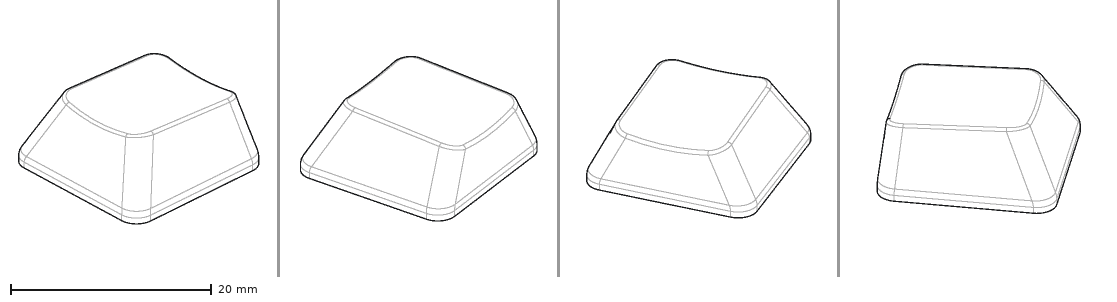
import cadquery as cq
import math

WIDTH = 18.16
HALF = WIDTH / 2
SKIRT_HEIGHT = 0.69

BEND_HEIGHT = 0.65
BEND_TOP = SKIRT_HEIGHT + BEND_HEIGHT

SIDE_LEAN = 25.2
FRONT_LEAN = 27.0
BACK_LEAN = 4.9

CORNER_RADIUS = 2.03
TOP_CORNER_RADIUS = 1.92
BLANK_HEIGHT = 8.72
TOP_TILT = 3.1

DISH_RADIUS = 24.52
DISH_HEIGHT = 6.77
DISH_LENGTH = 2 * WIDTH
RIM_RADIUS = 0.38


def wall_inset(height, lean):
    """Distance of a wall inside the skirt: a parabola in the bend, then a straight lean."""
    rise = height - SKIRT_HEIGHT
    if rise < BEND_HEIGHT:
        effective_rise = rise**2 / (2 * BEND_HEIGHT)
    else:
        effective_rise = rise - BEND_HEIGHT / 2
    return effective_rise * math.tan(math.radians(lean))


def section(height, radius, tilt=0.0):
    """Rounded rectangle around the walls, on a plane that may fall towards the back."""
    slope = math.tan(math.radians(tilt))
    right = HALF - wall_inset(height, SIDE_LEAN)
    front_reach = HALF - wall_inset(height, FRONT_LEAN)
    back_reach = HALF - wall_inset(height, BACK_LEAN)
    front_reach /= 1 + slope * math.tan(math.radians(FRONT_LEAN))
    back_reach /= 1 - slope * math.tan(math.radians(BACK_LEAN))
    front = -front_reach / math.cos(math.radians(tilt))
    back = back_reach / math.cos(math.radians(tilt))
    corner_inset = radius * (1 - math.sqrt(0.5))
    return (
        cq.Workplane(origin=(0, 0, height))
        .moveTo(radius - right, front)
        .lineTo(right - radius, front)
        .threePointArc((right - corner_inset, front + corner_inset), (right, front + radius))
        .lineTo(right, back - radius)
        .threePointArc((right - corner_inset, back - corner_inset), (right - radius, back))
        .lineTo(radius - right, back)
        .threePointArc((corner_inset - right, back - corner_inset), (-right, back - radius))
        .lineTo(-right, front + radius)
        .threePointArc((corner_inset - right, front + corner_inset), (radius - right, front))
        .close()
        .val()
        .rotate(cq.Vector(0, 0, height), cq.Vector(0.18, 0, height), -tilt)
    )


def blank():
    """Skirt, bend and leaning walls, with the top still flat."""
    skirt_outline = section(SKIRT_HEIGHT, CORNER_RADIUS)
    bend_middle = section(SKIRT_HEIGHT + BEND_HEIGHT / 2, CORNER_RADIUS)
    bend_outline = section(BEND_TOP, CORNER_RADIUS)
    top_outline = section(BLANK_HEIGHT, TOP_CORNER_RADIUS, TOP_TILT)

    skirt = cq.Solid.extrudeLinear(skirt_outline, [], cq.Vector(0, 0, -SKIRT_HEIGHT))
    bend = cq.Solid.makeLoft([skirt_outline, bend_middle, bend_outline])
    walls = cq.Solid.makeLoft([bend_outline, top_outline], True)
    return cq.Workplane(skirt).union(cq.Workplane(bend)).union(cq.Workplane(walls))


def dish_cutter():
    """Tilted cylinder that hollows the top."""
    return (
        cq.Workplane("XZ")
        .circle(DISH_RADIUS)
        .extrude(DISH_LENGTH / 2, both=True)
        .translate((0, 0, DISH_RADIUS))
        .rotate((0, 0, 0), (1, 0, 0), -TOP_TILT)
        .translate((0, 0, DISH_HEIGHT))
    )


dished = blank().cut(dish_cutter())
result = dished.faces("%CYLINDER").faces(">Z").edges().fillet(RIM_RADIUS)